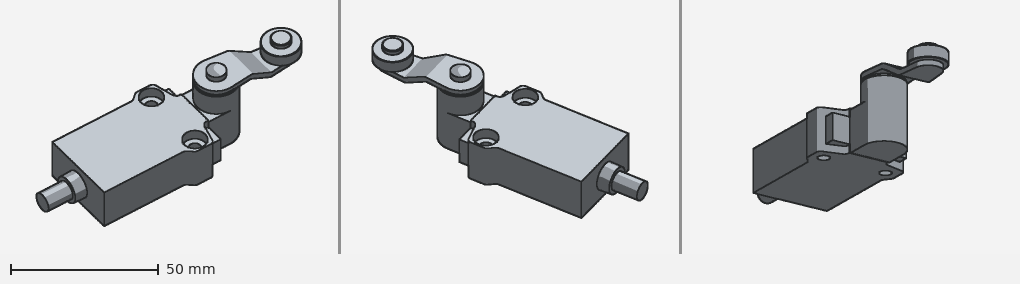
import cadquery as cq
import math


head_dia = 15.8
head_radius = head_dia / 2
head_top = 24.8
head_chamfer = 0.3
head_rim_height = 0.7
head_back_y = -9.0
head_block_height = 15.8

body_bottom = 0.3
body_height = 16.1
body_top = body_bottom + body_height
body_width = 29.9
body_back_y = -57.8
ear_width = 35.0
neck_width = 15.6
shoulder_y = -11.3
ear_front_y = -13.8
ear_back_y = -21.2
ear_root_y = -24.0
shoulder_fillet = 1.9
ear_front_fillet = 1.7
ear_back_fillet = 1.8
tab_bottom = 3.2
tab_height = 10.0
tab_back_y = ear_front_y

hole_dia = 4.4
counterbore_dia = 8.7
counterbore_depth = 4.0
hole_spacing = 25.0
hole_y = -18.1

gland_base_dia = 10.4
gland_end_dia = 10.0
gland_length = 4.8
cable_dia = 7.1
cable_end_y = -72.8

arm_thickness = 2.0
arm_step = 5.1
arm_top = head_top + arm_thickness
arm_slope = math.radians(30)
upper_bend_y = 9.9
inner_bend_radius = 0.5
outer_bend_radius = inner_bend_radius + arm_thickness
arm_tip_radius = 5.1

pin_dia = 7.0
pivot_rim_top = 29.0
pivot_top = 29.6
roller_dia = 14.0
roller_y = 106.9 + cable_end_y - roller_dia / 2
roller_bottom = 21.9
roller_thickness = 4.6
roller_chamfer = 0.2
roller_pin_top = 28.5
roller_pin_head_dia = 7.3
roller_pin_chamfer = 0.3


def block(width, y_back, y_front, z_bottom, height):
    """Box centred on X = 0 between two Y positions."""
    return (
        cq.Workplane("XY", origin=(0, (y_back + y_front) / 2, z_bottom))
        .box(width, y_front - y_back, height, centered=(True, True, False))
    )


def cylinder(dia, y, z_bottom, z_top):
    """Upright cylinder on the X = 0 plane."""
    return cq.Workplane("XY", origin=(0, y, z_bottom)).circle(dia / 2).extrude(z_top - z_bottom)


def make_head():
    column = cylinder(head_dia, 0, 0, head_top - head_rim_height)
    rim = cylinder(head_dia - 2 * head_chamfer, 0, 0, head_top)
    return column.union(rim).union(block(head_dia, head_back_y, 0, 0, head_block_height))


def make_body():
    half = [
        (neck_width / 2, head_back_y),
        (neck_width / 2, shoulder_y),
        (ear_width / 2, ear_front_y),
        (ear_width / 2, ear_back_y),
        (body_width / 2, ear_root_y),
        (body_width / 2, body_back_y),
    ]
    mirrored = [(-x, y) for x, y in reversed(half)]
    plane = cq.Workplane("XY", origin=(0, 0, body_bottom))
    body = plane.polyline(half + mirrored).close().extrude(body_height)

    def round_pair(solid, corner, radius):
        for side in (-1, 1):
            x, y = side * corner[0], corner[1]
            near = cq.selectors.BoxSelector(
                (x - 0.1, y - 0.1, body_bottom), (x + 0.1, y + 0.1, body_top)
            )
            solid = solid.edges("|Z").edges(near).fillet(radius)
        return solid

    body = round_pair(body, half[1], shoulder_fillet)
    body = round_pair(body, half[2], ear_front_fillet)
    body = round_pair(body, half[3], ear_back_fillet)
    body = round_pair(body, half[4], ear_back_fillet)
    body = body.union(block(body_width, tab_back_y, head_back_y, tab_bottom, tab_height))
    return (
        body.faces(">Z").workplane(origin=(0, hole_y, body_top))
        .pushPoints([(-hole_spacing / 2, 0), (hole_spacing / 2, 0)])
        .cboreHole(hole_dia, counterbore_dia, counterbore_depth)
    )


def make_cable():
    """Tapered gland with the round cable running through it."""
    plane = cq.Workplane("XZ", origin=(0, body_back_y, body_bottom + body_height / 2))
    gland = (
        plane.circle(gland_base_dia / 2)
        .workplane(offset=gland_length)
        .circle(gland_end_dia / 2)
        .loft()
    )
    return gland.union(plane.circle(cable_dia / 2).extrude(body_back_y - cable_end_y))


def make_arm():
    """Cranked strip trimmed to a tapered outline with two round ends."""
    lower_bend_y = upper_bend_y + arm_step / math.tan(arm_slope)
    bend_shift = arm_thickness * math.tan(arm_slope / 2)
    tip_y = roller_y + arm_tip_radius
    lower_top = arm_top - arm_step
    strip = (
        cq.Workplane("YZ", origin=(-head_radius, 0, 0))
        .polyline([
            (-head_radius, arm_top),
            (upper_bend_y, arm_top),
            (lower_bend_y, lower_top),
            (tip_y, lower_top),
            (tip_y, lower_top - arm_thickness),
            (lower_bend_y - bend_shift, lower_top - arm_thickness),
            (upper_bend_y - bend_shift, head_top),
            (-head_radius, head_top),
        ])
        .close()
        .extrude(head_dia)
    )
    bends = [
        (upper_bend_y, arm_top, outer_bend_radius),
        (upper_bend_y - bend_shift, head_top, inner_bend_radius),
        (lower_bend_y, lower_top, inner_bend_radius),
        (lower_bend_y - bend_shift, lower_top - arm_thickness, outer_bend_radius),
    ]
    for y, z, radius in bends:
        strip = strip.edges(cq.selectors.NearestToPointSelector((0, y, z))).fillet(radius)

    taper = math.asin((head_radius - arm_tip_radius) / roller_y)
    base = (head_radius * math.cos(taper), head_radius * math.sin(taper))
    tip = (arm_tip_radius * math.cos(taper), roller_y + arm_tip_radius * math.sin(taper))
    outline = (
        cq.Workplane("XY")
        .moveTo(*base)
        .lineTo(*tip)
        .threePointArc((0, tip_y), (-tip[0], tip[1]))
        .lineTo(-base[0], base[1])
        .threePointArc((0, -head_radius), base)
        .close()
        .extrude(arm_top)
    )
    return strip.intersect(outline)


def make_pivot_pin():
    """Round pin with a spherical cap on top."""
    dome_height = pivot_top - pivot_rim_top
    dome_radius = ((pin_dia / 2) ** 2 + dome_height ** 2) / (2 * dome_height)
    dome_mid_x = pin_dia / 4
    dome_mid_z = pivot_top - dome_radius + math.sqrt(dome_radius ** 2 - dome_mid_x ** 2)
    return (
        cq.Workplane("XZ")
        .moveTo(0, head_top)
        .lineTo(pin_dia / 2, head_top)
        .lineTo(pin_dia / 2, pivot_rim_top)
        .threePointArc((dome_mid_x, dome_mid_z), (0, pivot_top))
        .close()
        .revolve(360, (0, 0, 0), (0, 1, 0))
    )


def make_roller():
    roller = cylinder(roller_dia, roller_y, roller_bottom, roller_bottom + roller_thickness)
    roller = roller.faces("<Z or >Z").chamfer(roller_chamfer)
    pin = cylinder(pin_dia, roller_y, arm_top - arm_step - arm_thickness, roller_bottom)
    pin_head = cylinder(roller_pin_head_dia, roller_y, roller_bottom + roller_thickness, roller_pin_top)
    pin_head = pin_head.faces("<Z or >Z").chamfer(roller_pin_chamfer)
    return roller.union(pin).union(pin_head)


result = make_head()
for piece in (make_body(), make_cable(), make_arm(), make_pivot_pin(), make_roller()):
    result = result.union(piece)